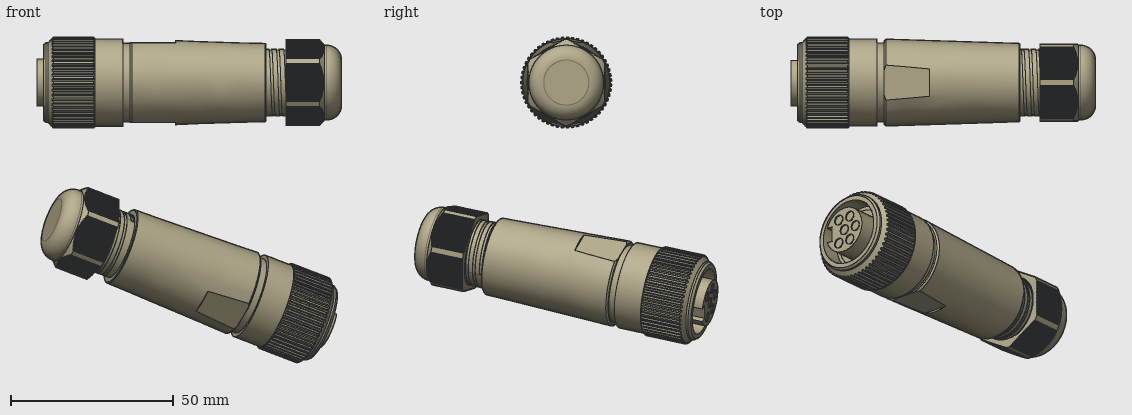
import cadquery as cq
import math

TOTAL_LENGTH = 93.6

INSERT_RADIUS = 14.5 / 2
RECESS_FLOOR = 8.4
FLANGE_RADIUS = 9.2
FLANGE_END = 12.2
SOCKET_RADIUS = 1.6
SOCKET_CIRCLE_RADIUS = 4.5
SOCKET_DEPTH = 0.4
SOCKET_SPACING = 60
OUTER_SOCKETS = 5
KEYWAY_WIDTH = 4.9
KEYWAY_FLOOR = 5.0

RING_START = 2.1
RING_END = 26.4
RING_BORE_RADIUS = 10.3
LIP_RADIUS = 12.3
LIP_CHAMFER = 0.6
LIP_CHAMFER_LENGTH = 0.75
LIP_END = 3.5
COLLAR_RADIUS = 26.9 / 2
KNURL_START = 5.05
KNURL_END = 17.8
KNURL_RADIUS = 28.0 / 2
KNURL_CHAMFER = 0.4
KNURL_COUNT = 55
KNURL_DEPTH = 0.5
KNURL_MOUTH_WIDTH = 1.0
KNURL_ROOT_WIDTH = 0.5

NECK_RADIUS = 12.2
BODY_START = 28.6
BODY_END = 70.4
BODY_START_RADIUS = 13.4
BODY_END_RADIUS = 12.1
BODY_START_CHAMFER = 0.6
BODY_END_CHAMFER = 0.3
FLAT_END = 42.6
FLAT_HEIGHT = 12.3
THREAD_RADIUS = 10.3
THREAD_END = 82.3
THREAD_PITCH = 2.2
THREAD_GROOVE_START = 71.1
THREAD_GROOVE_WIDTH = 0.8
THREAD_GROOVE_DEPTH = 0.23

NUT_START = 76.4
NUT_SIDES = 6
NUT_CORNER_RADIUS = 13.2
NUT_APOTHEM = 11.9
NUT_SHARP_CORNER_RADIUS = NUT_APOTHEM / math.cos(math.pi / NUT_SIDES)
NUT_CHAMFER_START = 86.7
NUT_CHAMFER_END = 88.3
DOME_RADIUS = 11.5
DOME_FILLET = 4.6
SERRATIONS_PER_SIDE = 24
SERRATION_DEPTH = 0.2


def revolve_profile(points):
    """Revolve a closed outline of (x, radius) points about the X axis."""
    outline = cq.Workplane("XY").polyline(points).close()
    return outline.revolve(360, (0, 0, 0), (1, 0, 0))


def cross_section(x):
    """Workplane across the axis at x, with local axes Y and Z."""
    return cq.Workplane("YZ").workplane(offset=x)


def make_insert():
    """Round insert on a wider flange, with a keyway and shallow sockets in its face."""
    core = cross_section(0).circle(INSERT_RADIUS).extrude(RECESS_FLOOR)
    keyway = cq.Workplane("XY").box(
        RECESS_FLOOR, INSERT_RADIUS, KEYWAY_WIDTH, centered=(False, False, True)
    )
    core = core.cut(keyway.translate((0, KEYWAY_FLOOR, 0)))
    flange = cross_section(RECESS_FLOOR).circle(FLANGE_RADIUS).extrude(FLANGE_END - RECESS_FLOOR)

    centres = [(0, 0)]
    for place in range(1, OUTER_SOCKETS + 1):
        angle = math.radians(place * SOCKET_SPACING)
        centres.append((SOCKET_CIRCLE_RADIUS * math.cos(angle), SOCKET_CIRCLE_RADIUS * math.sin(angle)))
    sockets = cross_section(0).pushPoints(centres).circle(SOCKET_RADIUS).extrude(SOCKET_DEPTH)
    return core.union(flange).cut(sockets)


def make_knurl_grooves():
    """Tapered grooves all round the ring; they run out on the cone in front of the knurl."""
    root = KNURL_RADIUS - KNURL_DEPTH
    groove = (
        cross_section(LIP_END)
        .polyline([
            (root, -KNURL_ROOT_WIDTH / 2),
            (KNURL_RADIUS, -KNURL_MOUTH_WIDTH / 2),
            (KNURL_RADIUS + KNURL_DEPTH, -KNURL_MOUTH_WIDTH / 2),
            (KNURL_RADIUS + KNURL_DEPTH, KNURL_MOUTH_WIDTH / 2),
            (KNURL_RADIUS, KNURL_MOUTH_WIDTH / 2),
            (root, KNURL_ROOT_WIDTH / 2),
        ])
        .close()
        .extrude(KNURL_END - LIP_END)
        .val()
    )
    turn = 360 / KNURL_COUNT
    return [groove.rotate((0, 0, 0), (1, 0, 0), index * turn) for index in range(KNURL_COUNT)]


def make_coupling_ring():
    """Sleeve with a chamfered lip, a knurled grip and a plain collar."""
    ring = revolve_profile([
        (RING_START, RING_BORE_RADIUS),
        (RING_START, LIP_RADIUS - LIP_CHAMFER),
        (RING_START + LIP_CHAMFER_LENGTH, LIP_RADIUS),
        (LIP_END, LIP_RADIUS),
        (KNURL_START, KNURL_RADIUS),
        (KNURL_END - KNURL_CHAMFER, KNURL_RADIUS),
        (KNURL_END, KNURL_RADIUS - KNURL_CHAMFER),
        (KNURL_END, COLLAR_RADIUS),
        (RING_END, COLLAR_RADIUS),
        (RING_END, RING_BORE_RADIUS),
    ])
    return cq.Workplane(ring.val().cut(*make_knurl_grooves()))


def make_thread_groove():
    """Right-handed helical groove round the rear thread, starting on the +Y side."""
    helix = cq.Wire.makeHelix(
        THREAD_PITCH,
        THREAD_END - THREAD_GROOVE_START,
        THREAD_RADIUS,
        center=cq.Vector(THREAD_GROOVE_START, 0, 0),
        dir=cq.Vector(1, 0, 0),
    )
    start = helix.startPoint()
    axial = cq.Vector(1, 0, 0)
    radial = cq.Vector(0, start.y, start.z).normalized()
    section = cq.Plane(origin=start.toTuple(), xDir=axial.toTuple(), normal=axial.cross(radial).toTuple())
    groove = (
        cq.Workplane(section)
        .rect(THREAD_GROOVE_WIDTH, 2 * THREAD_GROOVE_DEPTH)
        .sweep(cq.Workplane(helix), isFrenet=True)
    )
    start_angle = math.degrees(math.atan2(start.z, start.y))
    return groove.rotate((0, 0, 0), (1, 0, 0), -start_angle)


def make_housing():
    """Front spigot inside the ring, neck, tapered body with two flats, and rear thread."""
    housing = revolve_profile([
        (FLANGE_END, 0),
        (FLANGE_END, FLANGE_RADIUS),
        (RECESS_FLOOR, FLANGE_RADIUS),
        (RECESS_FLOOR, RING_BORE_RADIUS),
        (RING_END, RING_BORE_RADIUS),
        (RING_END, NECK_RADIUS),
        (BODY_START, NECK_RADIUS),
        (BODY_START, BODY_START_RADIUS - BODY_START_CHAMFER),
        (BODY_START + BODY_START_CHAMFER, BODY_START_RADIUS),
        (BODY_END - BODY_END_CHAMFER, BODY_END_RADIUS),
        (BODY_END, BODY_END_RADIUS - BODY_END_CHAMFER),
        (BODY_END, THREAD_RADIUS),
        (THREAD_END, THREAD_RADIUS),
        (THREAD_END, 0),
    ])
    flat_length = FLAT_END - BODY_START
    for side in (1, -1):
        flat = cq.Workplane("XY").box(
            flat_length, 2 * BODY_START_RADIUS, BODY_START_RADIUS, centered=(False, True, True)
        )
        housing = housing.cut(flat.translate((BODY_START, 0, side * (FLAT_HEIGHT + BODY_START_RADIUS / 2))))
    return housing.cut(make_thread_groove())


def serrated_hexagon():
    """Corner points of a hexagon with trimmed corners and V serrations along each side."""
    half_angle = math.pi / NUT_SIDES
    corner_trim = (NUT_SHARP_CORNER_RADIUS - NUT_CORNER_RADIUS) / math.sin(half_angle)
    half_side = NUT_APOTHEM * math.tan(half_angle) - corner_trim
    step_width = half_side / SERRATIONS_PER_SIDE
    points = []
    for side in range(NUT_SIDES):
        angle = 2 * side * half_angle
        for step in range(2 * SERRATIONS_PER_SIDE + 1):
            along = step * step_width - half_side
            out = NUT_APOTHEM - SERRATION_DEPTH * (step % 2)
            points.append((
                out * math.cos(angle) - along * math.sin(angle),
                out * math.sin(angle) + along * math.cos(angle),
            ))
    return points


def make_nut_envelope():
    """Round outline of the nut: chamfered corners and a domed rear end."""
    dome_start = TOTAL_LENGTH - DOME_FILLET
    fillet_centre_radius = DOME_RADIUS - DOME_FILLET
    diagonal = DOME_FILLET * math.sqrt(0.5)
    return (
        cq.Workplane("XY")
        .moveTo(NUT_START, 0)
        .lineTo(NUT_START, NUT_SHARP_CORNER_RADIUS)
        .lineTo(NUT_CHAMFER_START, NUT_SHARP_CORNER_RADIUS)
        .lineTo(NUT_CHAMFER_START, NUT_CORNER_RADIUS)
        .lineTo(NUT_CHAMFER_END, DOME_RADIUS)
        .lineTo(dome_start, DOME_RADIUS)
        .threePointArc(
            (dome_start + diagonal, fillet_centre_radius + diagonal),
            (TOTAL_LENGTH, fillet_centre_radius),
        )
        .lineTo(TOTAL_LENGTH, 0)
        .close()
        .revolve(360, (0, 0, 0), (1, 0, 0))
    )


def make_nut():
    """Serrated hexagon nut with a domed end, screwed over the housing thread."""
    prism = cross_section(NUT_START).polyline(serrated_hexagon()).close().extrude(TOTAL_LENGTH - NUT_START)
    bore = cross_section(NUT_START).circle(THREAD_RADIUS).extrude(THREAD_END - NUT_START)
    return prism.intersect(make_nut_envelope()).cut(bore)


insert = make_insert()
coupling_ring = make_coupling_ring()
housing = make_housing()
clamping_nut = make_nut()

result = cq.Compound.makeCompound([
    insert.val(),
    coupling_ring.val(),
    housing.val(),
    clamping_nut.val(),
])